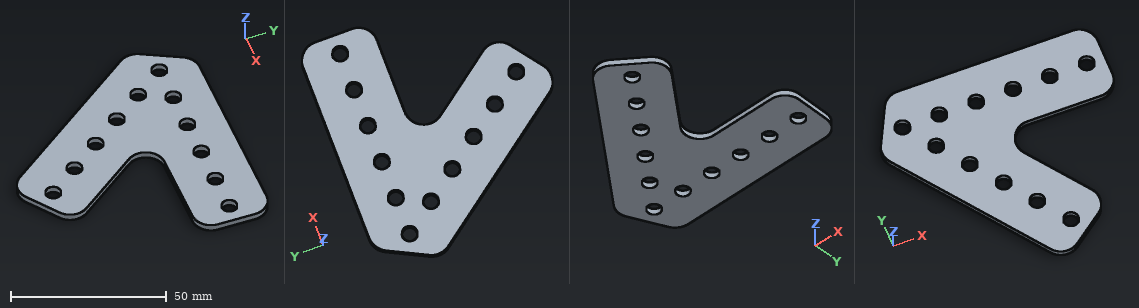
import cadquery as cq
import math

pitch = 12.7
holes_per_arm = 6
hole_diameter = 5.0
thickness = 2.5
arm_angle = math.atan2(4, 3)

half_width = pitch
end_margin = pitch / 2
corner_radius = pitch / 2
arm_reach = (holes_per_arm - 1) * pitch + end_margin


def on_diagonal(along, across):
    """Point in the diagonal arm: distance along it, and across toward the notch."""
    return (
        along * math.cos(arm_angle) + across * math.sin(arm_angle),
        -along * math.sin(arm_angle) + across * math.cos(arm_angle),
    )


bisector = arm_angle / 2
bevel_start = (half_width * math.sin(bisector) - end_margin) / math.cos(bisector)
notch_start = half_width / math.tan(bisector)

outline = [
    (bevel_start, half_width),
    (arm_reach, half_width),
    (arm_reach, -half_width),
    (notch_start, -half_width),
    on_diagonal(arm_reach, half_width),
    on_diagonal(arm_reach, -half_width),
    on_diagonal(bevel_start, -half_width),
]
plate = cq.Workplane("XY").polyline(outline).close().extrude(thickness)
plate = plate.edges("|Z").fillet(corner_radius)

straight_holes = [(i * pitch, 0) for i in range(holes_per_arm)]
diagonal_holes = [on_diagonal(i * pitch, 0) for i in range(1, holes_per_arm)]
hole_cutters = (
    cq.Workplane("XY")
    .pushPoints(straight_holes + diagonal_holes)
    .circle(hole_diameter / 2)
    .extrude(thickness)
)

result = plate.cut(hole_cutters)